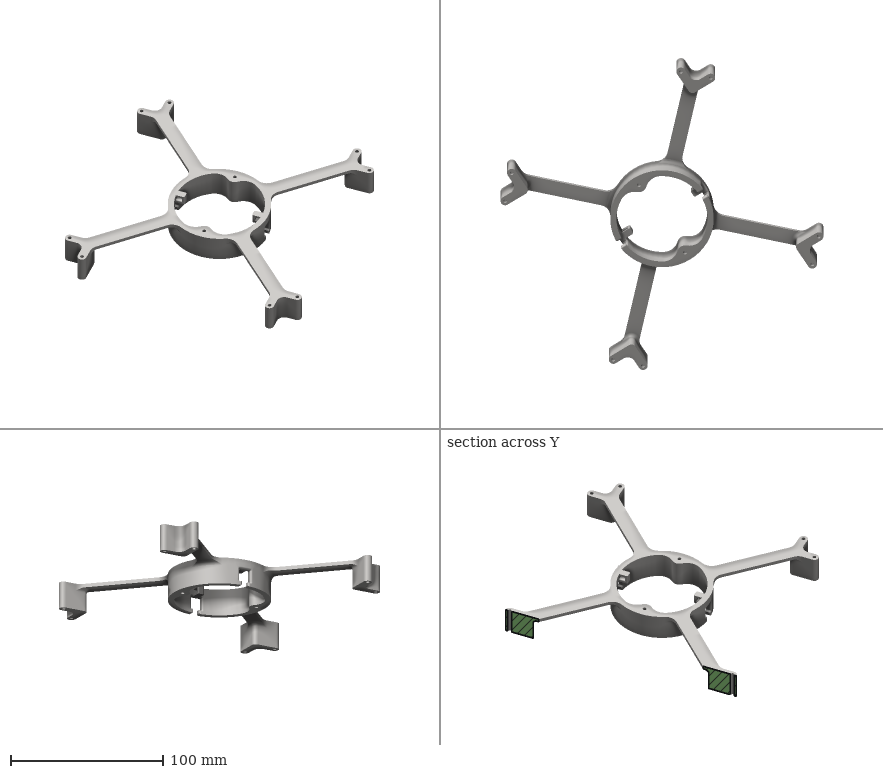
import cadquery as cq
import math

overall_size = 166.0
height = 18.0
arm_thickness = 2.5
arm_width = 10.0
arm_angles = (45, 135, 225, 315)

ring_outer_diameter = 67.9
ring_inner_radius = 29.9
arm_root_fillet = 8.0
screw_hole_diameter = 2.5

boss_radius = 5.0
boss_offset = 28.0
boss_fillet = 10.0

prong_width = 6.0
prong_offset = 65.9
crotch_fillet = 5.0
prong_root_fillet = 6.6

underside_fillet = 2.5

tab_tip = 23.7
tab_width = 4.6
tab_wall = 2.0
tab_rounding = 1.0
eye_rounding = 0.8

slot_top = 11.6
slot_width = 8.3
slot_corner_radius = 0.5
lip_gap = 4.5
lip_height = 3.0
slot_rounding = 1.2

selection_margin = 0.2

arm_underside = height - arm_thickness
ring_outer_radius = ring_outer_diameter / 2
prong_radius = prong_width / 2
prong_hole_offset = overall_size / 2 - prong_radius
leg_corner = prong_offset - prong_radius
boss_centers = [(0, boss_offset), (0, -boss_offset)]
prong_tips = [(prong_offset, prong_hole_offset), (prong_hole_offset, prong_offset)]


def at_each_arm(shape):
    """Union of copies of a shape made for the +X +Y arm, one per arm."""
    copies = cq.Workplane("XY")
    for angle in arm_angles:
        copies = copies.add(shape.rotate((0, 0, 0), (0, 0, 1), angle - arm_angles[0]))
    return copies.combine()


def arm_blank():
    """Full-height prism with the outline of one arm, its fork and the ring disc."""
    disc = cq.Workplane("XY").circle(ring_outer_radius).extrude(height)
    arm_length = (prong_offset + prong_radius / 2) * math.sqrt(2)
    arm = (
        cq.Workplane("XY")
        .rect(arm_length, arm_width)
        .extrude(height)
        .translate((arm_length / 2, 0, 0))
        .rotate((0, 0, 0), (0, 0, 1), arm_angles[0])
    )
    prong_length = prong_hole_offset - leg_corner
    middle = leg_corner + prong_length / 2
    bar_y = cq.Workplane("XY").center(prong_offset, middle).rect(prong_width, prong_length)
    bar_x = cq.Workplane("XY").center(middle, prong_offset).rect(prong_length, prong_width)
    tips = cq.Workplane("XY").pushPoints(prong_tips)
    fork = bar_y.extrude(height).union(bar_x.extrude(height))
    fork = fork.union(tips.circle(prong_radius).extrude(height))
    blank = disc.union(arm).union(fork)

    half_width = arm_width / 2
    root_along = math.sqrt(ring_outer_radius**2 - half_width**2)
    root = ((root_along + half_width) / math.sqrt(2), (root_along - half_width) / math.sqrt(2))
    prong_root = (leg_corner + arm_width / math.sqrt(2), leg_corner)
    crotch = (prong_offset + prong_radius, prong_offset + prong_radius)
    for (x, y), radius in (
        (root, arm_root_fillet),
        (prong_root, prong_root_fillet),
        (crotch, crotch_fillet),
    ):
        for point in {(x, y), (y, x)}:
            corner = cq.selectors.NearestToPointSelector((*point, height / 2))
            blank = blank.edges("|Z").edges(corner).fillet(radius)
    return blank


def thickness_envelope():
    """Top plate standing on the ring core and the leg blocks, with filleted roots."""
    plate = cq.Workplane("XY").workplane(offset=arm_underside)
    plate = plate.rect(overall_size, overall_size).extrude(arm_thickness)
    core = cq.Workplane("XY").circle(ring_outer_radius).extrude(arm_underside)
    block_size = overall_size / 2 - leg_corner
    block_center = leg_corner + block_size / 2
    block = cq.Workplane("XY").center(block_center, block_center).rect(block_size, block_size)
    block = block.extrude(arm_underside).edges("|Z and <XY").fillet(prong_radius)
    envelope = plate.union(core).union(at_each_arm(block))

    reach = block_center + block_size / 4
    roots = cq.selectors.BoxSelector(
        (-reach, -reach, arm_underside - selection_margin),
        (reach, reach, arm_underside + selection_margin),
    )
    return envelope.edges(roots).fillet(underside_fillet)


def ring_opening():
    """Bore of the ring, pinched in by the two screw bosses."""
    bore = cq.Workplane("XY").circle(ring_inner_radius).extrude(height)
    bosses = cq.Workplane("XY").pushPoints(boss_centers)
    bore = bore.cut(bosses.circle(boss_radius).extrude(height))
    return bore.edges("|Z").fillet(boss_fillet)


def tab():
    """Rounded tab reaching into the bore from the +X wall, with an eye through it along Y."""
    root = (ring_inner_radius + ring_outer_radius) / 2
    length = root - tab_tip
    block = (
        cq.Workplane("XY")
        .workplane(offset=slot_top)
        .center(tab_tip + length / 2, 0)
        .rect(length, tab_width)
        .extrude(height - slot_top)
        .edges("|Z and <X")
        .fillet(tab_rounding)
    )
    eye_start = tab_tip + tab_wall
    eye_width = ring_inner_radius - eye_start
    eye_height = height - slot_top - 2 * tab_wall
    eye = cq.Workplane("XY").box(eye_width, tab_width, eye_height)
    eye = eye.translate((eye_start + eye_width / 2, 0, (height + slot_top) / 2))
    rims = cq.selectors.BoxSelector(
        (eye_start - selection_margin, -tab_width, slot_top + selection_margin),
        (ring_inner_radius + selection_margin, tab_width, height - selection_margin),
    )
    return block.cut(eye).edges(rims).edges("not |Y").fillet(eye_rounding)


def slot():
    """Keyhole slot through the +X wall: a wide window above two lips, open below."""
    start = cq.Workplane("YZ").workplane(offset=tab_tip)
    depth = ring_outer_radius - tab_tip
    window = start.center(0, (slot_top + lip_height) / 2).rect(slot_width, slot_top - lip_height)
    window = window.extrude(depth).edges("|X").fillet(slot_corner_radius)
    gap_height = (slot_top + lip_height) / 2
    gap = start.center(0, gap_height / 2).rect(lip_gap, gap_height).extrude(depth)
    return window.union(gap)


def round_slot_rims(ring):
    """Round the slot rims on both wall faces, and the lower corners of the lips."""
    half_box_width = slot_width / 2 + selection_margin
    near_slots = cq.selectors.BoxSelector(
        (-overall_size, -half_box_width, selection_margin),
        (overall_size, half_box_width, slot_top + selection_margin),
    )
    at_bottom = cq.selectors.BoxSelector(
        (-overall_size, -half_box_width, -selection_margin),
        (overall_size, half_box_width, selection_margin),
    )
    rims = ring.edges(near_slots).edges("not |X").vals()
    lip_corners = ring.edges(at_bottom).edges("|X").vals()
    return ring.newObject(rims + lip_corners).fillet(slot_rounding)


def at_both_sides(shape):
    """Union of a shape made for the +X wall and its copy for the -X wall."""
    return shape.union(shape.rotate((0, 0, 0), (0, 0, 1), 180))


def screw_holes(points):
    """Full-height cylinders for screw holes at the given points."""
    circles = cq.Workplane("XY").pushPoints(points).circle(screw_hole_diameter / 2)
    return circles.extrude(height)


frame = at_each_arm(arm_blank()).intersect(thickness_envelope()).cut(ring_opening())
frame = round_slot_rims(frame.cut(at_both_sides(slot())))
frame = frame.union(at_both_sides(tab()))
frame = frame.cut(screw_holes(boss_centers))
result = frame.cut(at_each_arm(screw_holes(prong_tips)))